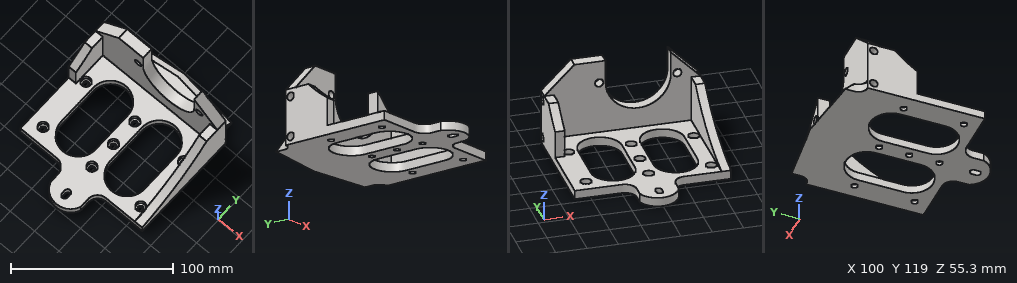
import cadquery as cq
import math

plate_width = 100.0
plate_depth = 78.0
plate_thickness = 6.0
half_width = plate_width / 2

quarter_arc_inset = 1 - math.sqrt(0.5)

slot_spacing = 40.0
slot_width = 28.0
slot_length = 58.0
slot_center_y = 35.0

screw_pitch = 40.0
screw_center_y = 30.0
screw_diameter = 4.0
counterbore_diameter = 7.0
counterbore_depth = 3.5

tab_width = 25.0
tab_root_radius = 7.5
tab_side_length = 14.5
tab_length = 23.15
tab_slot_width = 4.2
tab_slot_length = 7.0
tab_slot_center_y = -14.0

wall_thickness = 8.0
wall_height = 55.25
wall_front_y = plate_depth - wall_thickness
shoulder_height = 36.0
shoulder_rise = wall_height - shoulder_height

cutout_center_x = 10.1
cutout_center_z = 40.25
cutout_radius = 20.85
wall_hole_diameter = 5.2
wall_hole_spacing = 50.0

rib_thickness = 6.15
rib_flat_end_y = 60.0
rib_curve_radius = 113.0
short_rib_front_y = 45.0

lip_half_width = half_width - rib_thickness
lip_side_length = 12.5
lip_center_length = 17.87
lip_root_radius = rib_thickness

end_hole_diameter = 5.2
end_hole_depth = 10.0
end_hole_heights = (5.0, 31.0)


def make_plate():
    return cq.Workplane("XY").box(plate_width, plate_depth, plate_thickness, centered=(True, False, False))


def make_tab():
    """Rounded tab that flares into the front edge of the plate."""
    half_tab = tab_width / 2
    flare_x = half_tab + tab_root_radius
    bend = tab_root_radius * quarter_arc_inset
    return (
        cq.Workplane("XY")
        .moveTo(-flare_x, 0)
        .threePointArc((-half_tab - bend, -bend), (-half_tab, -tab_root_radius))
        .lineTo(-half_tab, -tab_side_length)
        .threePointArc((0, -tab_length), (half_tab, -tab_side_length))
        .lineTo(half_tab, -tab_root_radius)
        .threePointArc((half_tab + bend, -bend), (flare_x, 0))
        .close()
        .extrude(plate_thickness)
    )


def make_lip_half(side):
    """One half of the rear lip; side is -1 for left and +1 for right."""
    end_x = side * lip_half_width
    bend = lip_root_radius * quarter_arc_inset
    tip_y = plate_depth + lip_center_length
    end_y = plate_depth + lip_side_length
    outline = (
        cq.Workplane("XY")
        .moveTo(0, plate_depth)
        .lineTo(0, tip_y)
        .lineTo(end_x, end_y)
        .lineTo(end_x, plate_depth + lip_root_radius)
        .threePointArc((end_x + side * bend, plate_depth + bend), (side * half_width, plate_depth))
        .close()
        .extrude(plate_thickness)
    )
    return outline.cut(cq.Workplane("XY").add(make_bevel_wedge(side, tip_y, end_y)))


def make_bevel_wedge(side, tip_y, end_y):
    """Wedge cut away above the bevel: a triangle swept along the slanted edge, its ends square to X."""

    def corners(x, y):
        return [
            cq.Vector(x, y, 0),
            cq.Vector(x, y, plate_thickness),
            cq.Vector(x, y - plate_thickness, plate_thickness),
        ]

    inner = corners(0, tip_y)
    outer = corners(side * lip_half_width, end_y)
    wires = [cq.Wire.makePolygon(points, close=True) for points in (inner, outer)]
    return cq.Solid.makeLoft(wires, True)


def make_wall():
    """Upright wall with sloping shoulders and the U-shaped cutout."""
    shoulder_x = half_width - shoulder_rise
    wall = (
        cq.Workplane("XZ", origin=(0, plate_depth, 0))
        .polyline([
            (-half_width, 0),
            (half_width, 0),
            (half_width, shoulder_height),
            (shoulder_x, wall_height),
            (-shoulder_x, wall_height),
            (-half_width, shoulder_height),
        ])
        .close()
        .extrude(wall_thickness)
    )
    cutout = (
        cq.Workplane("XZ", origin=(cutout_center_x, plate_depth, 0))
        .moveTo(-cutout_radius, wall_height)
        .lineTo(-cutout_radius, cutout_center_z)
        .threePointArc((0, cutout_center_z - cutout_radius), (cutout_radius, cutout_center_z))
        .lineTo(cutout_radius, wall_height)
        .close()
        .extrude(wall_thickness)
    )
    holes = (
        cq.Workplane("XZ", origin=(cutout_center_x, plate_depth, cutout_center_z))
        .pushPoints([(-wall_hole_spacing / 2, 0), (wall_hole_spacing / 2, 0)])
        .circle(wall_hole_diameter / 2)
        .extrude(wall_thickness)
    )
    return wall.cut(cutout).cut(holes)


def make_rib(start_x):
    """Full-length side rib with a hollow curved top edge."""
    return (
        cq.Workplane("YZ", origin=(start_x, 0, 0))
        .moveTo(plate_depth, 0)
        .lineTo(plate_depth, shoulder_height)
        .lineTo(rib_flat_end_y, shoulder_height)
        .radiusArc((0, plate_thickness), rib_curve_radius)
        .lineTo(0, 0)
        .close()
        .extrude(rib_thickness)
    )


def make_short_rib(start_x):
    """Side rib of the same profile, cut off square before the front edge."""
    front_block = (
        cq.Workplane("XY", origin=(start_x, 0, plate_thickness))
        .box(rib_thickness, short_rib_front_y, shoulder_height, centered=False)
    )
    return make_rib(start_x).cut(front_block)


def cut_plate_openings(body):
    """Cut the large slots, the tab slot and the counterbored screw holes."""
    body = (
        body.cut(
            cq.Workplane("XY")
            .pushPoints([(side * slot_spacing / 2, slot_center_y) for side in (-1, 1)])
            .slot2D(slot_length, slot_width, 90)
            .extrude(plate_thickness)
        )
        .cut(
            cq.Workplane("XY")
            .center(0, tab_slot_center_y)
            .slot2D(tab_slot_length, tab_slot_width, 90)
            .extrude(plate_thickness)
        )
    )
    screw_points = [(0, screw_center_y)]
    for column in (-1, 0, 1):
        for row in (-0.5, 0.5):
            screw_points.append((column * screw_pitch, screw_center_y + row * screw_pitch))
    through = cq.Workplane("XY").pushPoints(screw_points).circle(screw_diameter / 2).extrude(plate_thickness)
    heads = (
        cq.Workplane("XY", origin=(0, 0, plate_thickness - counterbore_depth))
        .pushPoints(screw_points)
        .circle(counterbore_diameter / 2)
        .extrude(counterbore_depth)
    )
    return body.cut(through).cut(heads)


def make_end_holes():
    """Blind holes running into the left end of the wall."""
    center_y = wall_front_y + wall_thickness / 2
    return (
        cq.Workplane("YZ", origin=(-half_width, center_y, 0))
        .pushPoints([(0, height) for height in end_hole_heights])
        .circle(end_hole_diameter / 2)
        .extrude(end_hole_depth)
    )


body = make_plate().union(make_tab())
for lip_side in (-1, 1):
    body = body.union(make_lip_half(lip_side))
body = body.union(make_wall())
body = body.union(make_short_rib(-half_width))
body = body.union(make_rib(half_width - rib_thickness))
body = cut_plate_openings(body)
result = body.cut(make_end_holes())